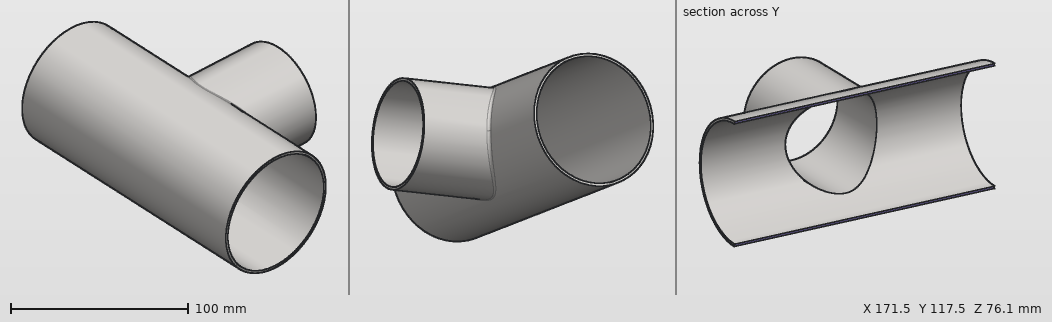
import cadquery as cq

run_length = 171.5
run_diameter = 76.1
run_bore = 72.9
branch_diameter = 63.5
branch_bore = 60.2
overall_width = 117.5
junction_fillet = 1.7

branch_reach = overall_width - run_diameter / 2


def run_cylinder(diameter):
    """Cylinder along X, centred on the origin, as long as the run."""
    return cq.Workplane("YZ").circle(diameter / 2).extrude(run_length / 2, both=True)


def branch_cylinder(diameter):
    """Cylinder from the run axis out along +Y to the branch mouth."""
    return cq.Workplane("XZ").circle(diameter / 2).extrude(-branch_reach)


outer_tee = run_cylinder(run_diameter).union(branch_cylinder(branch_diameter))
junction_box = cq.selectors.BoxSelector(
    (-branch_diameter, 0, -run_diameter),
    (branch_diameter, run_diameter / 2, run_diameter),
)
junction_edges = outer_tee.edges(junction_box).edges("not(%LINE or %CIRCLE)")
outer_tee = outer_tee.newObject(junction_edges.vals()).fillet(junction_fillet)

result = outer_tee.cut(run_cylinder(run_bore)).cut(branch_cylinder(branch_bore))